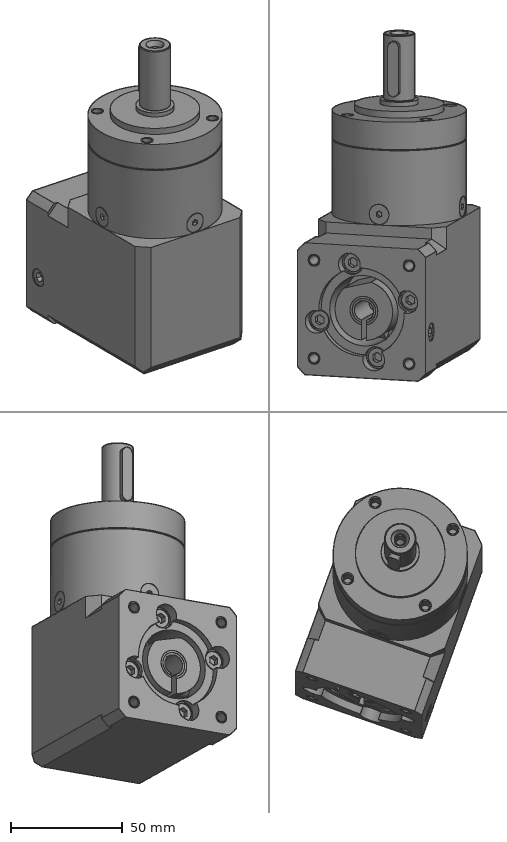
import cadquery as cq
import math


width = 60.0
half_width = width / 2
input_face_x = -55.5
total_height = 147.0
motor_axis_z = half_width

housing_top_z = 65.0
housing_chamfer = 5.2
flange_thickness = 16.0
flange_corner_diameter = 80.0
flange_back_x = input_face_x + flange_thickness

head_top_z = 112.0
head_groove_z = 99.2
head_groove_width = 0.5
head_groove_depth = 0.25
pilot_diameter = 40.0
pilot_height = 3.0
collar_diameter = 17.0
collar_height = 2.0
output_bolt_circle = 52.0
output_hole_depth = 10.0

plug_diameter = 9.2
plug_offset_z = 4.8
plug_socket_size = 2.5
plug_socket_depth = 2.0

shaft_diameter = 14.0
shaft_chamfer = 0.4
key_width = 5.0
key_length = 25.0
key_end_gap = 2.5
key_top_radius = 9.0
key_seat_radius = 4.0
centre_hole_diameter = 4.2
centre_recess_diameter = 5.3
centre_mouth_diameter = 8.1
centre_mouth_depth = 2.4
centre_recess_depth = 4.0
centre_hole_depth = 12.5
drill_tip_angle = 120.0

thread_core_diameter = 4.2
thread_mouth_diameter = 5.4
thread_mouth_depth = 0.1

input_bolt_circle = 63.0
input_hole_depth = 12.0
input_pilot_depth = 3.5
clamp_bore_diameter = 32.0
clamp_bore_depth = 25.0
hub_diameter = 27.0
hub_recess = input_pilot_depth
hub_flat_distance = 11.8
pattern_tilt = 15.0
hub_bore_diameter = 11.0
hub_mouth_diameter = 13.0
shaft_bore_diameter = 9.0
hub_mouth_depth = 0.1
hub_bore_depth = 0.2
hub_slot_width = 2.4

screw_circle = 44.0
screw_recess_diameter = 10.2
screw_recess_depth = 5.7
screw_head_diameter = 8.5
screw_head_height = 0.5
screw_socket_size = 4.0
screw_socket_depth = 3.0

clamp_screw_offset_z = -8.9
clamp_screw_x = -46.9
clamp_head_diameter = 7.6
clamp_head_length = 4.0
clamp_head_end_y = -9.0
access_diameter = 8.2
access_recess = 0.6
access_socket_size = 4.0
access_socket_depth = 3.0


def cylinder(diameter, length, start, direction):
    """Solid cylinder from a start point along a direction."""
    return cq.Workplane(
        cq.Solid.makeCylinder(diameter / 2, length, cq.Vector(*start), cq.Vector(*direction))
    )


def input_cylinder(diameter, depth, start_depth=0.0, y=0.0, z=0.0):
    """Cylinder along +X; depths count from the input face, y and z from the motor axis."""
    return cylinder(
        diameter, depth - start_depth, (input_face_x + start_depth, y, motor_axis_z + z), (1, 0, 0)
    )


def hex_prism(across_flats, length, start, direction, flat_side):
    """Hexagonal prism from a start point along a direction; flat_side sets its local X axis."""
    plane = cq.Plane(origin=start, xDir=flat_side, normal=direction)
    return cq.Workplane(plane).polygon(6, across_flats / math.cos(math.pi / 6)).extrude(length)


def threaded_hole(start, direction, depth):
    """Core hole with a shallow mouth of about the thread diameter."""
    mouth = cylinder(thread_mouth_diameter, thread_mouth_depth, start, direction)
    return cylinder(thread_core_diameter, depth, start, direction).union(mouth)


def square_pattern(bolt_circle):
    """Four points at 45 degrees on a bolt circle."""
    offset = bolt_circle / 2 * math.sqrt(0.5)
    return [(a * offset, b * offset) for a in (-1, 1) for b in (-1, 1)]


def block(x_min, x_max, height):
    """Box of the housing width standing on Z = 0."""
    return cq.Workplane("XY").box(x_max - x_min, width, height, centered=(False, True, False)).translate(
        (x_min, 0, 0)
    )


def make_housing():
    tower = block(-half_width, half_width, housing_top_z)
    bottom_chamfers = (
        tower.edges("|X and <Z").chamfer(housing_chamfer),
        tower.edges("|Y and <Z and >X").chamfer(housing_chamfer),
    )
    tower = tower.edges("|Z").chamfer(housing_chamfer)
    for chamfered_block in bottom_chamfers:
        tower = tower.intersect(chamfered_block)
    arm = block(flange_back_x, 0, width).edges("|X").chamfer(housing_chamfer)
    flange = block(input_face_x, flange_back_x, width)
    flange = flange.intersect(input_cylinder(flange_corner_diameter, flange_thickness))
    return tower.union(arm).union(flange)


def make_output_head():
    head = cylinder(width, head_top_z - housing_top_z, (0, 0, housing_top_z), (0, 0, 1))
    groove_start = (0, 0, head_groove_z - head_groove_width / 2)
    groove = cylinder(width, head_groove_width, groove_start, (0, 0, 1)).cut(
        cylinder(width - 2 * head_groove_depth, head_groove_width, groove_start, (0, 0, 1))
    )
    head = head.cut(groove)
    head = head.union(cylinder(pilot_diameter, pilot_height, (0, 0, head_top_z), (0, 0, 1)))
    for x, y in square_pattern(output_bolt_circle):
        head = head.cut(threaded_hole((x, y, head_top_z), (0, 0, -1), output_hole_depth))
    return head


def cut_plugs(body):
    """Flat plug faces with hexagon sockets on the four sides of the head."""
    plug_z = housing_top_z + plug_offset_z
    plug_face_radius = math.sqrt(half_width**2 - (plug_diameter / 2) ** 2)
    for x, y in ((1, 0), (0, 1), (-1, 0), (0, -1)):
        face_centre = (x * plug_face_radius, y * plug_face_radius, plug_z)
        body = body.cut(cylinder(plug_diameter, half_width, face_centre, (x, y, 0)))
        body = body.cut(
            hex_prism(plug_socket_size, plug_socket_depth, face_centre, (-x, -y, 0), (0, 0, 1))
        )
    return body


def make_shaft():
    collar_z = head_top_z + pilot_height
    shaft_z = collar_z + collar_height
    shaft = cylinder(shaft_diameter, total_height - shaft_z, (0, 0, shaft_z), (0, 0, 1))
    shaft = shaft.edges("%CIRCLE").chamfer(shaft_chamfer)
    shaft = shaft.union(cylinder(collar_diameter, collar_height, (0, 0, collar_z), (0, 0, 1)))

    key = (
        cq.Workplane("YZ", origin=(-key_top_radius, 0, total_height - key_end_gap - key_length / 2))
        .slot2D(key_length, key_width, 90)
        .extrude(key_top_radius - key_seat_radius)
    )

    tip_depth = centre_hole_diameter / 2 / math.tan(math.radians(drill_tip_angle / 2))
    centre_hole = (
        cq.Workplane("XZ")
        .moveTo(0, total_height)
        .lineTo(centre_mouth_diameter / 2, total_height)
        .lineTo(centre_recess_diameter / 2, total_height - centre_mouth_depth)
        .lineTo(centre_recess_diameter / 2, total_height - centre_recess_depth)
        .lineTo(centre_hole_diameter / 2, total_height - centre_recess_depth)
        .lineTo(centre_hole_diameter / 2, total_height - centre_hole_depth)
        .lineTo(0, total_height - centre_hole_depth - tip_depth)
        .close()
        .revolve(360, (0, 0, 0), (0, 1, 0))
    )
    return shaft.union(key).cut(centre_hole)


def make_clamp_hub():
    """Slotted motor clamp hub with a tilted flat, standing on the clamp bore floor."""
    hub = input_cylinder(hub_diameter, clamp_bore_depth, hub_recess)
    hub_length = clamp_bore_depth - hub_recess
    flat_cut = (
        cq.Workplane("XY")
        .box(hub_length, hub_diameter, hub_diameter, centered=(False, True, False))
        .translate((0, 0, hub_flat_distance))
        .rotate((0, 0, 0), (1, 0, 0), -pattern_tilt)
        .translate((input_face_x + hub_recess, 0, motor_axis_z))
    )
    slot = (
        cq.Workplane("XY")
        .box(hub_length, hub_slot_width, hub_diameter, centered=(False, True, False))
        .translate((input_face_x + hub_recess, 0, motor_axis_z - hub_diameter))
    )
    clamp_head = cylinder(
        clamp_head_diameter,
        clamp_head_length,
        (clamp_screw_x, clamp_head_end_y, motor_axis_z + clamp_screw_offset_z),
        (0, 1, 0),
    )
    hub = hub.cut(flat_cut).union(clamp_head).cut(slot)
    for diameter, depth in (
        (hub_mouth_diameter, hub_mouth_depth),
        (hub_bore_diameter, hub_bore_depth),
        (shaft_bore_diameter, hub_length),
    ):
        hub = hub.cut(input_cylinder(diameter, hub_recess + depth, hub_recess))
    return hub


def make_flange_screw(y, z):
    """Socket head rising from the floor of its recess, and the socket that sinks into it."""
    head_depth = screw_recess_depth - screw_head_height
    head = input_cylinder(screw_head_diameter, screw_recess_depth, head_depth, y, z)
    socket = hex_prism(
        screw_socket_size,
        screw_socket_depth,
        (input_face_x + head_depth, y, motor_axis_z + z),
        (1, 0, 0),
        (0, 0, 1),
    )
    return head, socket


def add_motor_input(body):
    body = body.cut(input_cylinder(pilot_diameter, input_pilot_depth))
    body = body.cut(input_cylinder(clamp_bore_diameter, clamp_bore_depth))
    for y, z in square_pattern(input_bolt_circle):
        body = body.cut(threaded_hole((input_face_x, y, motor_axis_z + z), (1, 0, 0), input_hole_depth))
    for quarter in range(4):
        angle = math.radians(pattern_tilt + 90 * quarter)
        y = -screw_circle / 2 * math.cos(angle)
        z = screw_circle / 2 * math.sin(angle)
        body = body.cut(input_cylinder(screw_recess_diameter, screw_recess_depth, 0, y, z))
        head, socket = make_flange_screw(y, z)
        body = body.union(head).cut(socket)
    return body.union(make_clamp_hub())


def cut_access_plug(body):
    """Recessed hexagon socket plug on the -Y side, in line with the clamp screw."""
    z = motor_axis_z + clamp_screw_offset_z
    body = body.cut(cylinder(access_diameter, access_recess, (clamp_screw_x, -half_width, z), (0, 1, 0)))
    socket_start = (clamp_screw_x, access_recess - half_width, z)
    return body.cut(hex_prism(access_socket_size, access_socket_depth, socket_start, (0, 1, 0), (0, 0, 1)))


result = make_housing().union(make_output_head())
result = cut_plugs(result)
result = result.union(make_shaft())
result = add_motor_input(result)
result = cut_access_plug(result)